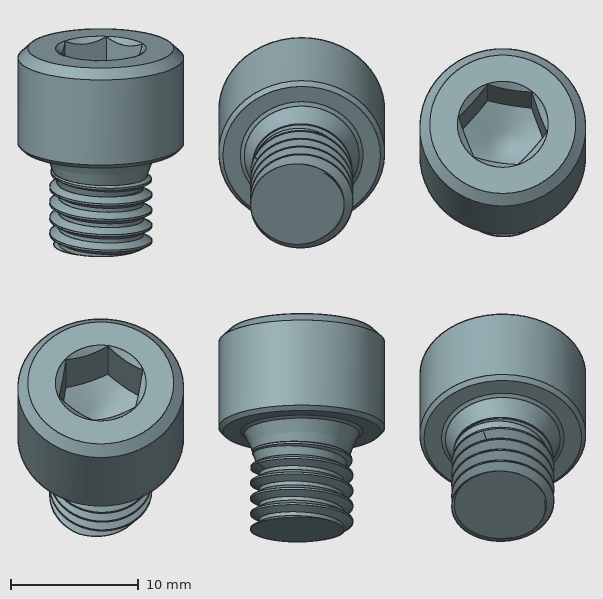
import cadquery as cq
import math


head_radius = 6.5
head_height = 8.0
top_chamfer_width = 0.78
top_chamfer_height = 0.75
bottom_chamfer = 0.34

socket_across_flats = 6.08
socket_depth = 4.0
mouth_radius = 3.55
corner_turn = 30.0
lead_in_angle = 40.0
floor_angle = 25.0

shank_length = 8.0
neck_top_radius = 4.8
neck_lip_radius = 4.5
neck_lip_drop = 0.16
neck_waist_drop = 1.2
neck_end_drop = 3.2

thread_radius = 4.0
pitch = 1.25
thread_angle = 60.0
full_turns = 4.5
runout_turns = 1.5
runout_slope = 0.1
thread_start = -8.65
root_overlap = 0.06

flank_slope = math.tan(math.radians(thread_angle / 2))
crest_half_width = pitch / 16
root_half_width = pitch * 3 / 8
thread_depth = (root_half_width - crest_half_width) / flank_slope
core_radius = thread_radius - thread_depth


def revolve_profile(points):
    """Turn an (r, z) outline about the Z axis."""
    return cq.Workplane("XZ").polyline(points).close().revolve(360, (0, 0, 0), (0, 1, 0))


def make_head():
    head = cq.Workplane("XY").circle(head_radius).extrude(head_height)
    head = head.faces(">Z").chamfer(top_chamfer_height, top_chamfer_width)
    return head.faces("<Z").chamfer(bottom_chamfer)


def make_core():
    """Thread core that flares through the neck into the head."""
    return revolve_profile([
        (0, -shank_length),
        (core_radius, -shank_length),
        (core_radius, -neck_end_drop),
        (thread_radius, -neck_waist_drop),
        (neck_lip_radius, -neck_lip_drop),
        (neck_top_radius, 0),
        (0, 0),
    ])


def sweep_ridge(helix, start_radius):
    """Sweep the thread profile along a helix that starts on the +X axis at this root radius."""
    inner = start_radius - root_overlap
    outer = start_radius + thread_depth
    inner_half_width = root_half_width + root_overlap * flank_slope
    profile = cq.Workplane("XZ").polyline([
        (inner, -inner_half_width),
        (outer, -crest_half_width),
        (outer, crest_half_width),
        (inner, inner_half_width),
    ]).close()
    return profile.sweep(cq.Workplane(helix), isFrenet=True)


def make_full_thread():
    """Ridge of constant radius, trimmed flush with the shank end."""
    helix = cq.Wire.makeHelix(pitch, full_turns * pitch, core_radius, lefthand=True)
    ridge = sweep_ridge(helix, core_radius).translate((0, 0, thread_start))
    shank_space = cq.Workplane("XY").circle(head_radius).extrude(-shank_length)
    return ridge.intersect(shank_space)


def make_runout():
    """Ridge that narrows upwards; built widening as a right-hand coil, then mirrored upside down."""
    height = runout_turns * pitch
    end_radius = core_radius - runout_slope * height
    cone_angle = math.degrees(math.atan(runout_slope))
    helix = cq.Wire.makeHelix(pitch, height, end_radius, angle=cone_angle)
    top = thread_start + (full_turns + runout_turns) * pitch
    return sweep_ridge(helix, end_radius).mirror("XY").translate((0, 0, top))


def make_socket():
    """Hexagon bounded below by a conical floor, plus the conical lead-in at its mouth."""
    corner_radius = socket_across_flats / math.sqrt(3)
    floor_z = head_height - socket_depth
    floor_tip_z = floor_z - mouth_radius * math.tan(math.radians(floor_angle))
    lead_in_tip_z = head_height - mouth_radius * math.tan(math.radians(lead_in_angle))
    hexagon = (
        cq.Workplane("XY", origin=(0, 0, floor_tip_z))
        .polygon(6, 2 * corner_radius)
        .extrude(head_height - floor_tip_z)
        .rotate((0, 0, 0), (0, 0, 1), corner_turn)
    )
    bore = revolve_profile([
        (0, floor_tip_z),
        (mouth_radius, floor_z),
        (mouth_radius, head_height),
        (0, head_height),
    ])
    lead_in = revolve_profile([
        (0, head_height),
        (mouth_radius, head_height),
        (0, lead_in_tip_z),
    ])
    return hexagon.intersect(bore).union(lead_in)


body = make_head().union(make_core()).union(make_full_thread()).union(make_runout())
result = body.cut(make_socket())